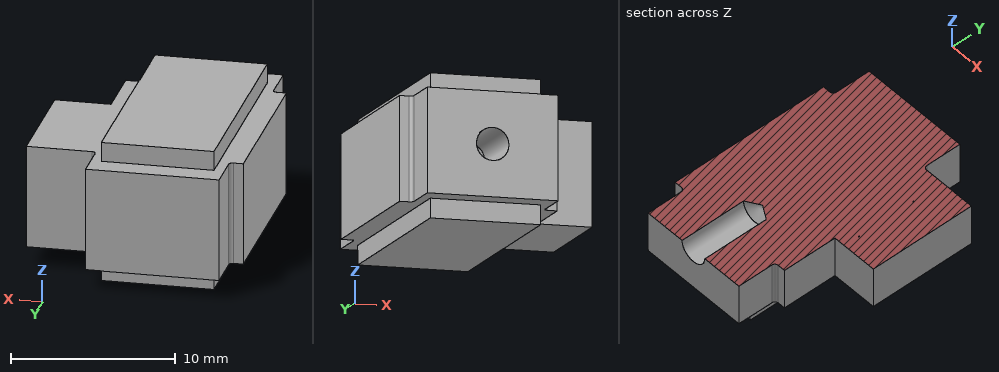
import cadquery as cq
import math

core_width = 8.3
core_length = 18.0
body_height = 6.55

flank_width = 10.0
flank_length = 12.1
lug_reach = 3.5
lug_length = 8.0
inner_corner_radius = 0.25

pad_width = 7.0
pad_length = 15.0
overall_height = 9.0

hole_diameter = 2.05
hole_depth = 5.0
drill_point_angle = 118.0


def make_body():
    """Core and wider flanks, with the four inner corners rounded."""
    core = cq.Workplane("XY").box(core_width, core_length, body_height)
    flanks = cq.Workplane("XY").box(flank_width, flank_length, body_height)
    body = core.union(flanks)
    for side_x in (-1, 1):
        for side_y in (-1, 1):
            corner = (side_x * core_width / 2, side_y * flank_length / 2, 0)
            body = body.edges(cq.NearestToPointSelector(corner)).fillet(inner_corner_radius)
    return body


def make_lug():
    """Side lug on +X, flush with the +Y end of the flanks."""
    lug_start = core_width / 2
    lug_end = flank_width / 2 + lug_reach
    lug_back = flank_length / 2
    return (
        cq.Workplane("XY")
        .box(lug_end - lug_start, lug_length, body_height)
        .translate(((lug_start + lug_end) / 2, lug_back - lug_length / 2, 0))
    )


def make_pads():
    """One block through the body that forms both the top and bottom pads."""
    return cq.Workplane("XY").box(pad_width, pad_length, overall_height)


def drill_end_hole(part):
    """Blind hole with a conical drill point, entering the -Y face."""
    end_face = cq.Workplane("XZ", origin=(0, -core_length / 2, 0))
    hole_radius = hole_diameter / 2
    bore = end_face.circle(hole_radius).extrude(-hole_depth)
    point_height = hole_radius / math.tan(math.radians(drill_point_angle / 2))
    point = cq.Workplane(
        obj=cq.Solid.makeCone(
            hole_radius,
            0,
            point_height,
            pnt=cq.Vector(0, hole_depth - core_length / 2, 0),
            dir=cq.Vector(0, 1, 0),
        )
    )
    return part.cut(bore).cut(point)


result = drill_end_hole(make_body().union(make_lug()).union(make_pads()))